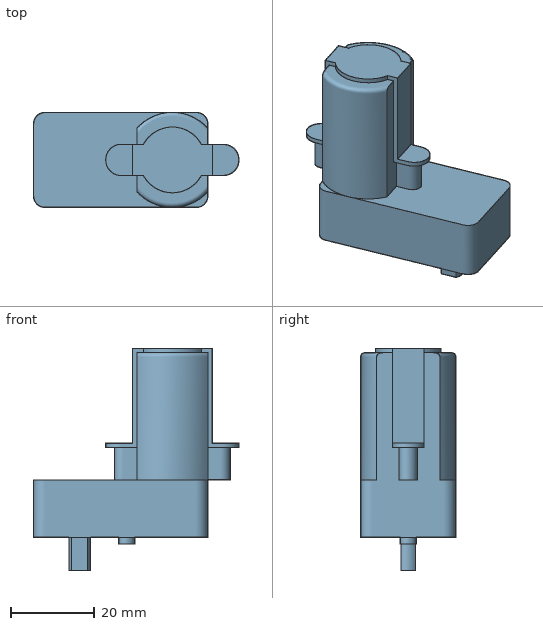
import cadquery as cq

box_length = 42.05
box_width = 22.9
box_height = 13.85
box_corner_radius = 2.8

shaft_length = 8.0
shaft_diameter = 5.25
shaft_flat_width = 3.6
shaft_x = 11.15
pin_diameter = 3.9
pin_length = 1.6
pin_x = 22.5

can_diameter = box_width
can_flat_width = 17.15
can_edge_radius = 0.95
can_x = box_length - can_flat_width / 2
cap_diameter = 15.85

overall_height = 53.55
strap_thickness = 1.05
strap_width = 7.55
strap_length = can_flat_width + 2 * strap_thickness
lug_span = 32.1
lug_bottom_z = 29.6
post_span = 27.95
post_width = 4.35

box_bottom_z = shaft_length
box_top_z = box_bottom_z + box_height
can_top_z = overall_height - strap_thickness


def make_gearbox():
    return (
        cq.Workplane("XY", origin=(box_length / 2, 0, box_bottom_z))
        .rect(box_length, box_width)
        .extrude(box_height)
        .edges("|Z")
        .fillet(box_corner_radius)
    )


def make_shaft():
    shaft = cq.Workplane("XY", origin=(shaft_x, 0, 0)).circle(shaft_diameter / 2).extrude(shaft_length)
    flats = (
        cq.Workplane("XY", origin=(shaft_x, 0, 0))
        .rect(shaft_diameter, shaft_flat_width)
        .extrude(shaft_length)
    )
    return shaft.intersect(flats)


def make_pin():
    return (
        cq.Workplane("XY", origin=(pin_x, 0, box_bottom_z))
        .circle(pin_diameter / 2)
        .extrude(-pin_length)
    )


def can_plane(z):
    return cq.Workplane("XY", origin=(can_x, 0, z))


def make_can():
    """Round the top rim first, so that the side flats cut through the rounding."""
    height = can_top_z - box_top_z
    body = can_plane(box_top_z).circle(can_diameter / 2).extrude(height)
    body = body.faces(">Z").edges().fillet(can_edge_radius)
    flats = can_plane(box_top_z).rect(can_flat_width, can_diameter).extrude(height)
    cap = can_plane(can_top_z).circle(cap_diameter / 2).extrude(strap_thickness)
    return body.intersect(flats).union(cap)


def make_strap():
    band = can_plane(lug_bottom_z).rect(strap_length, strap_width).extrude(overall_height - lug_bottom_z)
    lugs = can_plane(lug_bottom_z).slot2D(lug_span, strap_width).extrude(strap_thickness)
    posts = can_plane(box_top_z).slot2D(post_span, post_width).extrude(lug_bottom_z - box_top_z)
    return band.union(lugs).union(posts)


result = (
    make_gearbox()
    .union(make_shaft())
    .union(make_pin())
    .union(make_can())
    .union(make_strap())
)